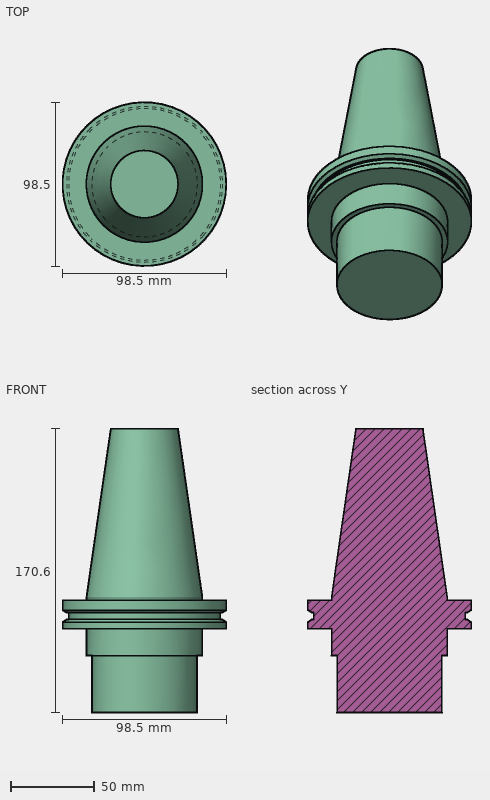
import cadquery as cq

total_height = 170.6
nose_diameter = 63.3
nose_length = 34.3
collar_diameter = 69.8
collar_length = 16.0

flange_diameter = 98.5
flange_thickness = 17.2
lower_rim_thickness = 4.1
upper_rim_thickness = 6.0

groove_diameter = 91.3
groove_slope_depth = 2.4
groove_slope_height = 1.5

land_height = 1.5
taper_large_diameter = collar_diameter
taper_small_diameter = 40.5

flange_bottom = nose_length + collar_length
flange_top = flange_bottom + flange_thickness
taper_bottom = flange_top + land_height


def cylinder(diameter, bottom, height):
    """Cylinder on the Z axis, standing on the given height."""
    return cq.Workplane("XY").workplane(offset=bottom).circle(diameter / 2).extrude(height)


def revolve_profile(points):
    """Solid of revolution about Z from a closed (radius, height) outline."""
    return cq.Workplane("XZ").polyline(points).close().revolve(360, (0, 0, 0), (0, 1, 0))


def make_flange():
    """Flange disc with the gripper groove cut around it."""
    rim_radius = flange_diameter / 2
    slope_radius = rim_radius - groove_slope_depth
    floor_radius = groove_diameter / 2
    groove_bottom = flange_bottom + lower_rim_thickness
    groove_top = flange_top - upper_rim_thickness
    floor_bottom = groove_bottom + groove_slope_height
    floor_top = groove_top - groove_slope_height
    groove = revolve_profile([
        (rim_radius, groove_bottom),
        (slope_radius, floor_bottom),
        (floor_radius, floor_bottom),
        (floor_radius, floor_top),
        (slope_radius, floor_top),
        (rim_radius, groove_top),
    ])
    return cylinder(flange_diameter, flange_bottom, flange_thickness).cut(groove)


def make_taper():
    """Conical shank from the land up to the small end."""
    return revolve_profile([
        (0, taper_bottom),
        (taper_large_diameter / 2, taper_bottom),
        (taper_small_diameter / 2, total_height),
        (0, total_height),
    ])


nose = cylinder(nose_diameter, 0, nose_length)
collar = cylinder(collar_diameter, nose_length, collar_length)
land = cylinder(taper_large_diameter, flange_top, land_height)

result = nose.union(collar).union(make_flange()).union(land).union(make_taper())